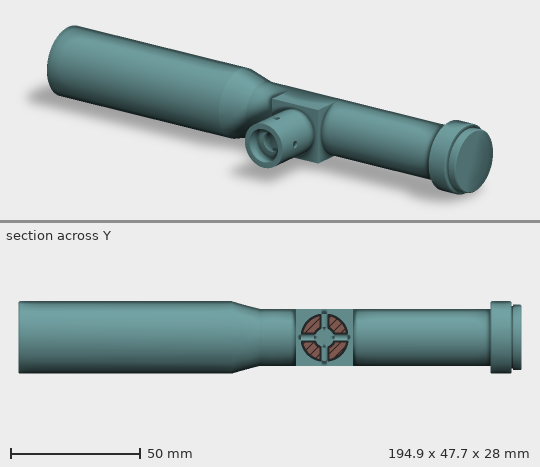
import cadquery as cq

total_length = 194.9
head_diameter = 28.0
handle_length = 82.6
taper_length = 11.1
tube_diameter = 22.0
collar_length = 8.2
groove_length = 0.5
groove_diameter = 24.2
lip_length = 3.3
lip_diameter = 25.3
edge_chamfer = 0.4

block_side = tube_diameter
block_center_x = 118.5
block_reach = 13.0
connector_diameter = 18.1
connector_reach = 33.7
socket_diameter = 13.6
socket_depth = 5.3
inner_bore_diameter = 8.0
inner_bore_depth = connector_reach - block_reach - socket_depth
pin_hole_diameter = 3.0
pin_hole_setback = 8.2


def cylinder_x(start, length, diameter):
    """Cylinder on the main axis."""
    return cq.Workplane("YZ", origin=(start, 0, 0)).circle(diameter / 2).extrude(length)


def cylinder_y(start, length, diameter):
    """Cylinder on the connector axis, running from y = start toward +Y."""
    plane = cq.Plane(origin=(block_center_x, start, 0), xDir=(1, 0, 0), normal=(0, 1, 0))
    return cq.Workplane(plane).circle(diameter / 2).extrude(length)


def main_body():
    lip_start = total_length - lip_length
    groove_start = lip_start - groove_length
    collar_start = groove_start - collar_length
    taper_end = handle_length + taper_length

    handle = cylinder_x(0, handle_length, head_diameter).faces("<X").chamfer(edge_chamfer)
    taper = (
        cq.Workplane("YZ", origin=(handle_length, 0, 0))
        .circle(head_diameter / 2)
        .workplane(offset=taper_length)
        .circle(tube_diameter / 2)
        .loft(ruled=True)
    )
    tube = cylinder_x(taper_end, collar_start - taper_end, tube_diameter)
    collar = cylinder_x(collar_start, collar_length, head_diameter).edges().chamfer(edge_chamfer)
    groove = cylinder_x(groove_start, groove_length, groove_diameter)
    lip = cylinder_x(lip_start, lip_length, lip_diameter).faces(">X").chamfer(edge_chamfer)
    return handle.union(taper).union(tube).union(collar).union(groove).union(lip)


def connector():
    block = cq.Workplane("XY").box(block_side, block_reach, block_side)
    block = block.translate((block_center_x, -block_reach / 2, 0))
    barrel = cylinder_y(-connector_reach, connector_reach - block_reach, connector_diameter)
    return block.union(barrel)


def cut_connector(body):
    socket_floor = -connector_reach + socket_depth
    body = body.cut(cylinder_y(-connector_reach, socket_depth, socket_diameter))
    body = body.cut(cylinder_y(socket_floor, inner_bore_depth, inner_bore_diameter))

    hole_center = (block_center_x, -connector_reach + pin_hole_setback, 0)
    for plane in ("XY", "YZ"):
        hole = (
            cq.Workplane(plane, origin=hole_center)
            .circle(pin_hole_diameter / 2)
            .extrude(connector_diameter, both=True)
        )
        body = body.cut(hole)
    return body


result = cut_connector(main_body().union(connector()))